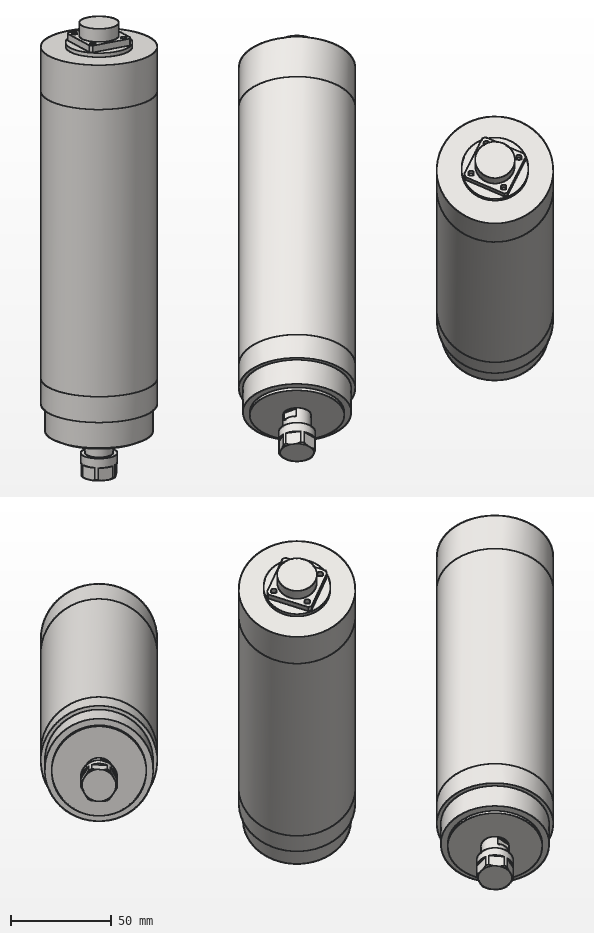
import cadquery as cq

nut_top = 12.0
shaft_top = 22.0
seal_disc_top = 23.5
nose_top = 37.5
front_ring_top = 51.2
tube_top = 202.0
end_cap_top = 225.5
gasket_top = 227.5
flange_top = 231.0
connector_top = 238.0

housing_diameter = 58.0
nose_diameter = 54.0
seal_disc_diameter = 47.1
shaft_diameter = 14.0
nut_diameter = 18.3
gasket_diameter = 33.3
barrel_diameter = 19.8

shaft_flat_bottom = 17.1
shaft_flat_top = 21.5
shaft_across_flats = 12.0

nut_flat_count = 6
nut_across_flats = 16.7
nut_flat_top = 7.0
nut_chamfer = 0.7
nut_turn = 22.0

flange_side = 23.8
flange_corner_diameter = 32.0
screw_hole_diameter = 2.9
screw_hole_spacing = 17.8


def cylinder(diameter, bottom, top):
    """Round body on the Z axis between two heights."""
    return cq.Workplane("XY", origin=(0, 0, bottom)).circle(diameter / 2).extrude(top - bottom)


def flat_cutter(diameter, across_flats, bottom, top):
    """Block that cuts one flat facing -Y into a cylinder of the given diameter."""
    return (
        cq.Workplane("XY", origin=(0, -across_flats / 2, bottom))
        .rect(diameter, diameter)
        .extrude(top - bottom)
        .translate((0, -diameter / 2, 0))
    )


def turn(body, angle):
    """Turn a body about the spindle axis."""
    return body.rotate((0, 0, 0), (0, 0, 1), angle)


def make_shaft():
    """Shaft stub with two opposite wrench flats."""
    shaft = cylinder(shaft_diameter, nut_top, shaft_top)
    cutter = flat_cutter(shaft_diameter, shaft_across_flats, shaft_flat_bottom, shaft_flat_top)
    for angle in (0, 180):
        shaft = shaft.cut(turn(cutter, angle))
    return shaft


def make_nut():
    """Round clamping nut with a chamfered tip and six flats open at the tip."""
    nut = cylinder(nut_diameter, 0, nut_top).faces("<Z").chamfer(nut_chamfer)
    cutter = flat_cutter(nut_diameter, nut_across_flats, 0, nut_flat_top)
    for index in range(nut_flat_count):
        nut = nut.cut(turn(cutter, nut_turn + index * 360 / nut_flat_count))
    return nut


def make_connector():
    """Round barrel on a square flange with four screw holes."""
    flange = (
        cq.Workplane("XY", origin=(0, 0, gasket_top))
        .rect(flange_side, flange_side)
        .extrude(flange_top - gasket_top)
        .intersect(cylinder(flange_corner_diameter, gasket_top, flange_top))
        .faces(">Z")
        .workplane()
        .rect(screw_hole_spacing, screw_hole_spacing, forConstruction=True)
        .vertices()
        .hole(screw_hole_diameter)
    )
    return flange.union(cylinder(barrel_diameter, flange_top, connector_top))


nut = make_nut()
shaft = make_shaft()
seal_disc = cylinder(seal_disc_diameter, shaft_top, seal_disc_top)
nose = cylinder(nose_diameter, seal_disc_top, nose_top)
front_ring = cylinder(housing_diameter, nose_top, front_ring_top)
tube = cylinder(housing_diameter, front_ring_top, tube_top)
end_cap = cylinder(housing_diameter, tube_top, end_cap_top)
gasket = cylinder(gasket_diameter, end_cap_top, gasket_top)
connector = make_connector()

bodies = [nut, shaft, seal_disc, nose, front_ring, tube, end_cap, gasket, connector]
result = cq.Compound.makeCompound([body.val() for body in bodies])